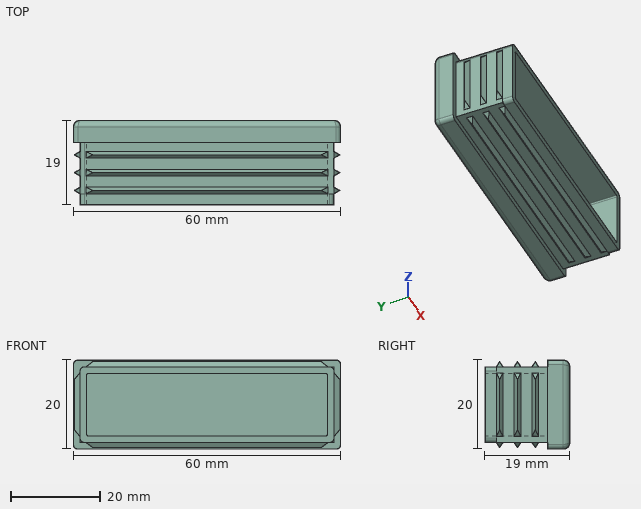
import cadquery as cq

head_length = 60.0
head_height = 20.0
head_depth = 5.0
head_edge_radius = 1.5
corner_radius = 1.0

shoulder = 1.5
insert_length = head_length - 2 * shoulder
insert_height = head_height - 2 * shoulder
insert_depth = 14.0
wall = 1.5
pocket_corner_radius = 0.3

rib_count = 3
rib_pitch = 4.0
first_rib_offset = 2.75
rib_width = 1.5
rib_end_run = 1.5
rib_corner_gap = 1.35
side_rib_rise = 1.3
flat_rib_rise = 1.15

rounded_tip_depth = insert_depth - first_rib_offset - (rib_count - 1) * rib_pitch - rib_width / 2


def block(length, height, y_start, depth):
    """Box centred on the Y axis, running from y_start toward +Y."""
    return cq.Workplane("XY").box(length, depth, height).translate((0, y_start + depth / 2, 0))


def make_head():
    """Cap with rounded corners and a rounded rim around its outer face."""
    head = block(head_length, head_height, 0, head_depth)
    head = head.edges("|Y").fillet(corner_radius)
    return head.faces(">Y").edges().fillet(head_edge_radius)


def make_insert():
    """Block with the -X/+Z corner rounded all along and the others only at the tip."""
    tip = block(insert_length, insert_height, -insert_depth, rounded_tip_depth)
    tip = tip.edges("|Y").fillet(corner_radius)
    root_depth = insert_depth - rounded_tip_depth
    root = block(insert_length, insert_height, -root_depth, root_depth)
    root = root.edges("|Y and <X and >Z").fillet(corner_radius)
    return root.union(tip)


def make_pocket():
    pocket = block(insert_length - 2 * wall, insert_height - 2 * wall, -insert_depth, insert_depth)
    return pocket.edges("|Y").fillet(pocket_corner_radius)


def make_rib(length, rise):
    """Hipped ridge along X, centred on the origin with its base on the XY plane."""
    half_base = length / 2
    half_ridge = half_base - rib_end_run
    along = (
        cq.Workplane("XZ")
        .polyline([(-half_base, 0), (half_base, 0), (half_ridge, rise), (-half_ridge, rise)])
        .close()
        .extrude(rib_width / 2, both=True)
    )
    across = (
        cq.Workplane("YZ")
        .polyline([(-rib_width / 2, 0), (rib_width / 2, 0), (0, rise)])
        .close()
        .extrude(half_base, both=True)
    )
    return along.intersect(across)


def add_ribs(body):
    """Rings of four ribs, one on each face of the insert."""
    flat_rib = make_rib(insert_length - 2 * rib_corner_gap, flat_rib_rise)
    flat_rib = flat_rib.translate((0, 0, insert_height / 2))
    side_rib = make_rib(insert_height - 2 * rib_corner_gap, side_rib_rise)
    side_rib = side_rib.rotate((0, 0, 0), (0, 1, 0), 90).translate((insert_length / 2, 0, 0))
    for index in range(rib_count):
        y = -first_rib_offset - index * rib_pitch
        for rib in (flat_rib, side_rib):
            opposite = rib.rotate((0, 0, 0), (0, 1, 0), 180)
            body = body.union(rib.translate((0, y, 0))).union(opposite.translate((0, y, 0)))
    return body


result = add_ribs(make_head().union(make_insert())).cut(make_pocket())